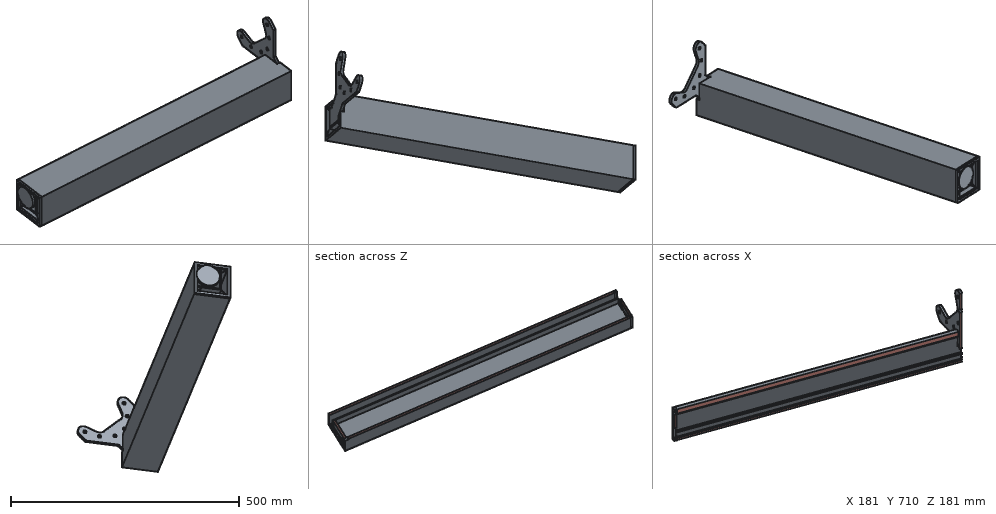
import cadquery as cq
import math

LENGTH = 710.0
TUBE_SIDE = 81.0
TUBE_WALL = 6.5

BORE_END = 57.5
CHANNEL_WALL = 3.5
CHANNEL_END = BORE_END + CHANNEL_WALL
CORNER_FILL = 11.0
WEB_THICKNESS = 0.35
SIDE_WEB_START = 16.0

FRAME_DEPTH = 6.0
COVER_RADIUS = 26.0
COVER_CENTER = 30.5

PLATE_THICKNESS = 6.5
NOTCH_DEPTH = 8.5
NOTCH_SIDE = 41.0
ARM_EDGE = 26.0
DIAGONAL_START = 8.5
STEP_DEPTH = 14.0
TIP_CENTER = (3.0, 86.5)
TIP_RADIUS = 13.5
TIP_LINE_ANGLE = 23.0
WAIST_POINTS = [(0.0, 57.5), (0.0, 49.0), (-6.5, 40.0)]
HOLE_RADIUS = 3.5
ARM_HOLES = [(3.5, 84.5), (11.0, 52.0), (4.0, 17.0)]

INNER_END = TUBE_SIDE - TUBE_WALL


def mirrored(point):
    """Reflect an (X, Z) point in the line Z = -X."""
    x, z = point
    return (-z, -x)


def section(y):
    """Workplane across the tube at the given Y; extrusions run toward +Y."""
    plane = cq.Plane(origin=(0, y, 0), xDir=(1, 0, 0), normal=(0, -1, 0))
    return cq.Workplane(plane)


def square_bar(start, end, y, depth):
    """Square bar on the symmetry diagonal, from start to end along both X and -Z."""
    middle = (start + end) / 2
    side = end - start
    return section(y).center(middle, -middle).rect(side, side).extrude(-depth)


def web(start, end, y, depth):
    """Thin flat web joining two (X, Z) points."""
    dx = end[0] - start[0]
    dz = end[1] - start[1]
    middle = ((start[0] + end[0]) / 2, (start[1] + end[1]) / 2)
    angle = math.degrees(math.atan2(dz, dx))
    width = math.hypot(dx, dz) + CHANNEL_WALL
    return (
        section(y)
        .center(*middle)
        .transformed(rotate=(0, 0, angle))
        .rect(width, WEB_THICKNESS)
        .extrude(-depth)
    )


def make_tube():
    depth = LENGTH - FRAME_DEPTH
    start = FRAME_DEPTH
    tube = square_bar(0, TUBE_SIDE, start, depth)
    tube = tube.cut(square_bar(TUBE_WALL, INNER_END, start, depth))

    channel = square_bar(TUBE_WALL, CHANNEL_END, start, depth)
    channel = channel.cut(square_bar(TUBE_WALL, BORE_END, start, depth))
    tube = tube.union(channel)

    corner_fill = (
        section(start)
        .moveTo(TUBE_WALL, -TUBE_WALL)
        .lineTo(TUBE_WALL + CORNER_FILL, -TUBE_WALL)
        .lineTo(TUBE_WALL, -TUBE_WALL - CORNER_FILL)
        .close()
        .extrude(-depth)
    )
    tube = tube.union(corner_fill)

    side_web_start = (CHANNEL_END, -SIDE_WEB_START)
    side_web_end = (INNER_END, -TUBE_WALL)
    tube = tube.union(web(side_web_start, side_web_end, start, depth))
    tube = tube.union(web(mirrored(side_web_start), mirrored(side_web_end), start, depth))
    tube = tube.union(web((CHANNEL_END, -CHANNEL_END), (INNER_END, -INNER_END), start, depth))

    return tube.cut(square_bar(0, NOTCH_SIDE, LENGTH - NOTCH_DEPTH, NOTCH_DEPTH))


def make_cover():
    return (
        section(0)
        .center(COVER_CENTER, -COVER_CENTER)
        .circle(COVER_RADIUS)
        .extrude(-FRAME_DEPTH)
    )


def make_frame():
    frame = square_bar(0, TUBE_SIDE, 0, FRAME_DEPTH)
    frame = frame.cut(square_bar(TUBE_WALL, INNER_END, 0, FRAME_DEPTH))
    return frame.cut(make_cover())


def on_tip(degrees):
    angle = math.radians(degrees)
    return (
        TIP_CENTER[0] + TIP_RADIUS * math.cos(angle),
        TIP_CENTER[1] + TIP_RADIUS * math.sin(angle),
    )


def make_bracket():
    tip_start = on_tip(45)
    tip_middle = on_tip(135)
    tip_end = on_tip(180 + TIP_LINE_ANGLE)
    bevel_end = (ARM_EDGE, tip_start[1] - (ARM_EDGE - tip_start[0]))
    diagonal_top = (ARM_EDGE, DIAGONAL_START)
    diagonal_bottom = (ARM_EDGE + DIAGONAL_START + STEP_DEPTH, -STEP_DEPTH)
    step_corner = (BORE_END, -STEP_DEPTH)
    waist_start, waist_middle, waist_end = WAIST_POINTS

    plate = (
        section(LENGTH - PLATE_THICKNESS)
        .moveTo(BORE_END, -BORE_END)
        .lineTo(*step_corner)
        .lineTo(*diagonal_bottom)
        .lineTo(*diagonal_top)
        .lineTo(*bevel_end)
        .lineTo(*tip_start)
        .threePointArc(tip_middle, tip_end)
        .lineTo(*waist_start)
        .threePointArc(waist_middle, waist_end)
        .lineTo(*mirrored(waist_end))
        .threePointArc(mirrored(waist_middle), mirrored(waist_start))
        .lineTo(*mirrored(tip_end))
        .threePointArc(mirrored(tip_middle), mirrored(tip_start))
        .lineTo(*mirrored(bevel_end))
        .lineTo(*mirrored(diagonal_top))
        .lineTo(*mirrored(diagonal_bottom))
        .lineTo(*mirrored(step_corner))
        .close()
        .extrude(-PLATE_THICKNESS)
    )
    holes = (
        section(LENGTH - PLATE_THICKNESS)
        .pushPoints(ARM_HOLES + [mirrored(hole) for hole in ARM_HOLES])
        .circle(HOLE_RADIUS)
        .extrude(-PLATE_THICKNESS)
    )
    return plate.cut(holes)


tube = make_tube()
frame = make_frame()
cover = make_cover()
bracket = make_bracket()

result = cq.Compound.makeCompound([tube.val(), frame.val(), cover.val(), bracket.val()])